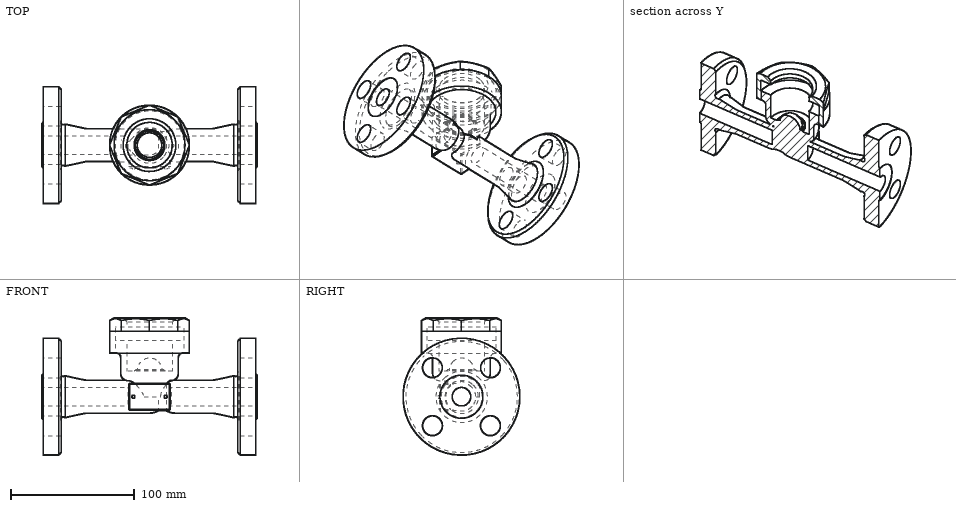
import cadquery as cq
import math

total_length = 175.0
pipe_radius = 13.5
bore_radius = 7.5
bore_depth = 70.0
left_pipe_end = 0.0
right_pipe_end = 20.8
core_radius = 11.4

flange_radius = 95.0 / 2
flange_thickness = 14.9
flange_chamfer = 2.3
bolt_hole_diameter = 16.0
bolt_spacing = 47.0
raised_face_height = 1.0
raised_face_radius = 17.5
raised_face_root_radius = 19.0

hub_small_end = 51.6
hub_large_end = 68.6
hub_large_radius = 17.2

bowl_radius = 47.0 / 2
bowl_bottom = 13.1
bowl_corner_radius = 5.8
bowl_top = 32.0
shoulder_fillet = 3.3
spigot_radius = 28.0
spigot_top = 45.7
neck_radius = 14.4
neck_flare_radius = bowl_radius - bowl_corner_radius
bowl_bore_radius = 37.0 / 2
bowl_floor = 21.0

seat_outer_radius = 25.0 / 2
seat_bead_outer_radius = 23.0 / 2
dome_radius = 10.0
seat_height = 0.7

pad_width = 33.6
pad_height = 21.9
pad_front = 18.2
pad_chamfer = 0.9
rivet_offset = 13.1
rivet_radius = 1.2

nut_flat_count = 8
nut_radius = 65.0 / 2
overall_height = 111.5
nut_top = overall_height - flange_radius
nut_bottom = bowl_top + shoulder_fillet
nut_flats_bottom = 53.0
nut_top_flat_radius = 28.9
nut_bevel_angle = 30.0
nut_bore_radius = bowl_bore_radius
nut_bore_chamfer = 3.0
nut_cavity_top = 56.7

half_length = total_length / 2
flange_face = half_length - raised_face_height
flange_back = flange_face - flange_thickness

cone_angle = math.atan2(hub_large_radius - pipe_radius, hub_large_end - hub_small_end)
hub_fillet = (flange_back - hub_large_end) / (1 - math.sin(cone_angle))
hub_root_radius = hub_large_radius + hub_fillet * math.cos(cone_angle)

half_arc = math.sqrt(0.5)


def cylinder_z(radius, bottom, top):
    return cq.Workplane("XY").workplane(offset=bottom).circle(radius).extrude(top - bottom)


def pipe_arm(direction, inner_end):
    """Round-ended pipe with its weld-neck flange, on the side given by direction (-1 or 1)."""
    bevel_start = flange_back + flange_chamfer
    root_width = raised_face_root_radius - raised_face_radius
    mid_angle = (cone_angle + math.pi / 2) / 2
    hub_fillet_middle = (
        direction * (flange_back + hub_fillet * (1 - math.sin(mid_angle))),
        hub_root_radius - hub_fillet * math.cos(mid_angle),
    )
    raised_face_middle = (
        direction * (half_length - raised_face_height * half_arc),
        raised_face_root_radius - root_width * half_arc,
    )
    profile = (
        cq.Workplane("XY")
        .moveTo(direction * half_length, 0)
        .lineTo(direction * half_length, raised_face_radius)
        .threePointArc(raised_face_middle, (direction * flange_face, raised_face_root_radius))
        .lineTo(direction * flange_face, flange_radius)
        .lineTo(direction * bevel_start, flange_radius)
        .lineTo(direction * flange_back, flange_radius - flange_chamfer)
        .lineTo(direction * flange_back, hub_root_radius)
        .threePointArc(hub_fillet_middle, (direction * hub_large_end, hub_large_radius))
        .lineTo(direction * hub_small_end, pipe_radius)
        .lineTo(inner_end, pipe_radius)
        .lineTo(inner_end, 0)
        .close()
    )
    arm = profile.revolve(360, (0, 0, 0), (1, 0, 0))
    round_end = cq.Workplane("XY").sphere(pipe_radius).translate((inner_end, 0, 0))
    return arm.union(round_end)


def cut_arm_holes(body, direction):
    """Blind flow bore and four through bolt holes on one side of the body."""
    face = cq.Workplane("YZ").workplane(offset=direction * half_length)
    bore = face.circle(bore_radius).extrude(-direction * bore_depth)
    bolt_holes = (
        face.rect(bolt_spacing, bolt_spacing, forConstruction=True)
        .vertices()
        .circle(bolt_hole_diameter / 2)
        .extrude(-direction * (half_length - flange_back))
    )
    return body.cut(bore).cut(bolt_holes)


def bowl():
    """Solid bowl with a flared neck below, and a filleted shoulder and spigot above."""
    inset = 1 - half_arc
    corner = bowl_corner_radius
    flare = neck_flare_radius - neck_radius
    profile = (
        cq.Workplane("XZ")
        .moveTo(0, 0)
        .lineTo(neck_radius, 0)
        .lineTo(neck_radius, bowl_bottom - flare)
        .threePointArc(
            (neck_radius + flare * inset, bowl_bottom - flare * inset),
            (neck_flare_radius, bowl_bottom),
        )
        .threePointArc(
            (bowl_radius - corner * inset, bowl_bottom + corner * inset),
            (bowl_radius, bowl_bottom + corner),
        )
        .lineTo(bowl_radius, bowl_top)
        .threePointArc(
            (bowl_radius + shoulder_fillet * inset, bowl_top + shoulder_fillet * half_arc),
            (bowl_radius + shoulder_fillet, nut_bottom),
        )
        .lineTo(spigot_radius, nut_bottom)
        .lineTo(spigot_radius, spigot_top)
        .lineTo(0, spigot_top)
        .close()
    )
    return profile.revolve(360, (0, 0, 0), (0, 1, 0))


def seat():
    """Raised ring with a rounded bead around a central dome."""
    bead_radius = (seat_bead_outer_radius - dome_radius) / 2
    seat_top = bowl_floor + seat_height
    ring = cylinder_z(seat_outer_radius, bowl_floor, seat_top)
    bead = cq.Workplane("XY").add(
        cq.Solid.makeTorus(dome_radius + bead_radius, bead_radius, cq.Vector(0, 0, seat_top))
    )
    dome = cq.Workplane("XY").sphere(dome_radius).translate((0, 0, seat_top))
    dome = dome.intersect(cylinder_z(dome_radius, bowl_floor, spigot_top))
    return ring.union(bead).union(dome)


def name_pad():
    pad = (
        cq.Workplane("XZ")
        .rect(pad_width, pad_height)
        .extrude(pad_front)
        .edges("|Y or <Y")
        .chamfer(pad_chamfer)
    )
    for side in (-1, 1):
        rivet = cq.Workplane("XY").sphere(rivet_radius)
        pad = pad.union(rivet.translate((side * rivet_offset, -pad_front, 0)))
    return pad


def make_body():
    core = cq.Workplane("YZ").circle(core_radius).extrude(right_pipe_end)
    body = pipe_arm(-1, left_pipe_end).union(pipe_arm(1, right_pipe_end)).union(core)
    body = body.union(bowl()).union(name_pad())
    body = body.cut(cylinder_z(bowl_bore_radius, bowl_floor, spigot_top)).union(seat())
    for direction in (-1, 1):
        body = cut_arm_holes(body, direction)
    return body


def make_nut():
    skirt = cylinder_z(nut_radius, nut_bottom, nut_flats_bottom)
    flats = (
        cq.Workplane("XY")
        .workplane(offset=nut_flats_bottom)
        .polygon(nut_flat_count, 2 * nut_radius)
        .extrude(nut_top - nut_flats_bottom)
    )
    bevel_width = nut_radius - nut_top_flat_radius
    bevel_height = bevel_width * math.tan(math.radians(nut_bevel_angle))
    envelope = cylinder_z(nut_radius, nut_flats_bottom, nut_top)
    envelope = envelope.faces(">Z").chamfer(bevel_height, bevel_width)
    nut = skirt.union(flats.intersect(envelope))
    cavity = cylinder_z(spigot_radius, nut_bottom, nut_cavity_top)
    bore = cylinder_z(nut_bore_radius, nut_bottom, nut_top)
    nut = nut.cut(cavity).cut(bore)
    mouth = cq.selectors.RadiusNthSelector(0)
    return nut.faces(">Z").edges(mouth).chamfer(nut_bore_chamfer)


body = make_body()
nut = make_nut()
result = cq.Compound.makeCompound([body.val(), nut.val()])